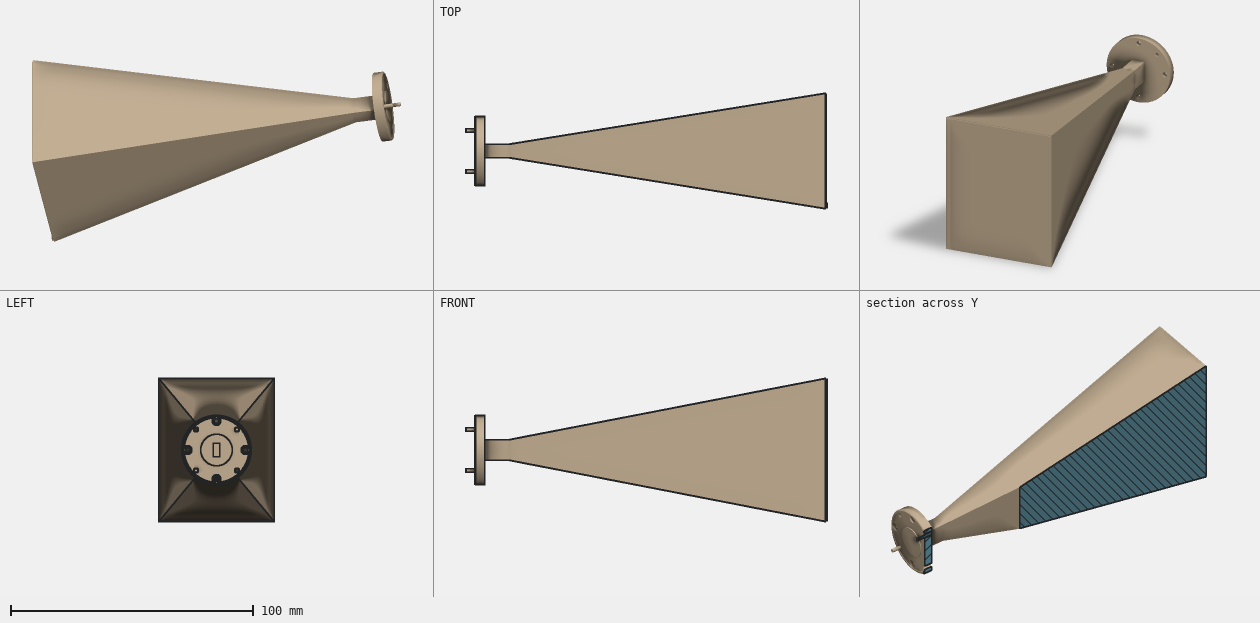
import cadquery as cq
import math


flange_diameter = 28.58
flange_thickness = 4.2
edge_chamfer = 0.35
rim_inner_diameter = 26.6
boss_diameter = 13.0
recess_depth = 0.4

bolt_circle_radius = 11.9
screw_hole_diameter = 2.1
counterbore_diameter = 3.5
counterbore_depth = 0.9
dowel_diameter = 1.56
dowel_hole_chamfer = 0.2
dowel_protrusion = 3.6
screw_angles = [0, 90, 180, 270]
dowel_hole_angles = [45, 225]
dowel_pin_angles = [135, 315]

core_width = 2.84
core_height = 5.69
waveguide_wall = 1.4
neck_width = core_width + 2 * waveguide_wall
neck_height = core_height + 2 * waveguide_wall
neck_length = 9.85

mouth_width = 47.58
mouth_height = 58.99
overall_length = 148.65
lip_length = 0.35
lip_inset = 0.4
bar_length = 0.7
bar_width = 1.8

neck_end = flange_thickness + neck_length
mouth_x = overall_length - dowel_protrusion - bar_length


def plane_at(x):
    """Workplane facing +X, with its local x along Y and its local y along Z."""
    return cq.Workplane("YZ", origin=(x, 0, 0))


def on_bolt_circle(x, angles):
    """Workplane at x with points on the bolt circle; angles run from +Y towards +Z."""
    points = []
    for angle in angles:
        turn = math.radians(angle)
        points.append((bolt_circle_radius * math.cos(turn), bolt_circle_radius * math.sin(turn)))
    return plane_at(x).pushPoints(points)


def make_flange():
    """Disc with a raised rim and centre boss, drilled for screws, dowels and the waveguide core."""
    disc = plane_at(0).circle(flange_diameter / 2).extrude(flange_thickness)
    disc = disc.faces("<X").chamfer(edge_chamfer)
    recess = (
        plane_at(0)
        .circle(rim_inner_diameter / 2)
        .circle(boss_diameter / 2)
        .extrude(recess_depth)
    )
    screw_holes = (
        on_bolt_circle(0, screw_angles)
        .circle(screw_hole_diameter / 2)
        .extrude(flange_thickness)
    )
    counterbores = (
        on_bolt_circle(0, screw_angles)
        .circle(counterbore_diameter / 2)
        .extrude(recess_depth + counterbore_depth)
    )
    dowel_holes = (
        on_bolt_circle(0, dowel_hole_angles + dowel_pin_angles)
        .circle(dowel_diameter / 2)
        .extrude(flange_thickness)
    )
    dowel_hole_chamfers = (
        on_bolt_circle(recess_depth, dowel_hole_angles + dowel_pin_angles)
        .circle(dowel_diameter / 2 + dowel_hole_chamfer)
        .extrude(dowel_hole_chamfer, taper=45)
    )
    core_opening = plane_at(0).rect(core_width, core_height).extrude(flange_thickness)
    flange = disc.cut(recess)
    for tool in (screw_holes, counterbores, dowel_holes, dowel_hole_chamfers, core_opening):
        flange = flange.cut(tool)
    return flange


def make_horn():
    """Core and neck running into the flared pyramid, with a lip and a raised bar at the mouth."""
    core = plane_at(0).rect(core_width, core_height).extrude(flange_thickness)
    neck = plane_at(flange_thickness).rect(neck_width, neck_height).extrude(neck_length)
    flare = (
        plane_at(neck_end)
        .rect(neck_width, neck_height)
        .workplane(offset=mouth_x - neck_end)
        .rect(mouth_width, mouth_height)
        .loft(ruled=True)
    )
    lip_width = mouth_width - 2 * lip_inset
    lip_height = mouth_height - 2 * lip_inset
    lip = plane_at(mouth_x).rect(lip_width, lip_height).extrude(lip_length)
    bar = (
        plane_at(mouth_x)
        .center((bar_width - lip_width) / 2, 0)
        .rect(bar_width, lip_height)
        .extrude(bar_length)
    )
    return core.union(neck).union(flare).union(lip).union(bar)


def make_dowel_pins():
    """Two dowels, each filling its hole and standing proud of the mating face."""
    pin_length = dowel_protrusion + flange_thickness
    return (
        on_bolt_circle(-dowel_protrusion, dowel_pin_angles)
        .circle(dowel_diameter / 2)
        .extrude(pin_length)
    )


flange = make_flange()
horn = make_horn()
dowel_pins = make_dowel_pins()

result = cq.Compound.makeCompound([flange.val(), horn.val(), *dowel_pins.vals()])